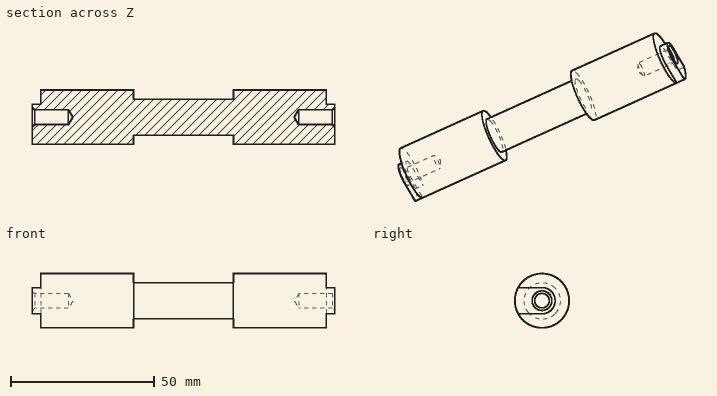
import cadquery as cq
import math

total_length = 105.8
body_diameter = 19.0
neck_diameter = 12.7
neck_length = 34.9
tongue_length = 3.0
tongue_width = 9.2
hole_diameter = 5.1
hole_depth = 12.7
hole_mouth_diameter = 6.9
drill_point_angle = 118.0

half_length = total_length / 2
shoulder_x = half_length - tongue_length
body_radius = body_diameter / 2
tongue_radius = tongue_width / 2
hole_radius = hole_diameter / 2
mouth_radius = hole_mouth_diameter / 2
mouth_depth = mouth_radius - hole_radius
drill_tip_depth = hole_radius / math.tan(math.radians(drill_point_angle / 2))


def x_cylinder(diameter, start_x, length):
    """Cylinder on the X axis, growing toward +X from start_x."""
    return cq.Workplane("YZ", origin=(start_x, 0, 0)).circle(diameter / 2).extrude(length)


def make_tongue():
    """Round-ended tongue on the +X end, running out to the -Y side of the body."""
    bar = (
        cq.Workplane("YZ", origin=(shoulder_x, 0, 0))
        .center(-body_radius / 2, 0)
        .rect(body_radius, tongue_width)
        .extrude(tongue_length)
    )
    round_end = x_cylinder(tongue_width, shoulder_x, tongue_length)
    body_envelope = x_cylinder(body_diameter, shoulder_x, tongue_length)
    return bar.union(round_end).intersect(body_envelope)


def make_end_hole():
    """Countersunk blind hole with a drill point, entering from the +X end."""
    hole_bottom_x = half_length - hole_depth
    return (
        cq.Workplane("XY")
        .moveTo(half_length, 0)
        .lineTo(half_length, mouth_radius)
        .lineTo(half_length - mouth_depth, hole_radius)
        .lineTo(hole_bottom_x, hole_radius)
        .lineTo(hole_bottom_x - drill_tip_depth, 0)
        .close()
        .revolve(360, (0, 0, 0), (1, 0, 0))
    )


def make_end():
    """Thick end body with its tongue and hole, on the +X side."""
    body_start_x = neck_length / 2
    body = x_cylinder(body_diameter, body_start_x, shoulder_x - body_start_x)
    return body.union(make_tongue()).cut(make_end_hole())


right_end = make_end()
left_end = right_end.mirror("YZ")
neck = x_cylinder(neck_diameter, -neck_length / 2, neck_length)
result = neck.union(right_end).union(left_end)